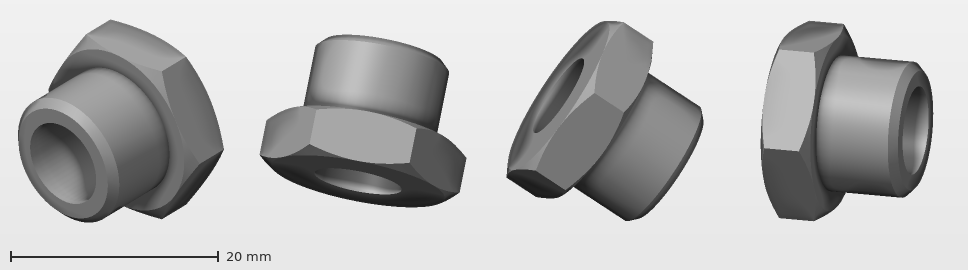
import cadquery as cq
import math

across_corners = 19.63
across_flats = across_corners * math.cos(math.radians(30))
head_length = 5.0
head_chamfer_angle = 30.0

total_length = 13.0
spigot_diameter = 13.15
spigot_length = total_length - head_length
spigot_chamfer = 0.79
bore_diameter = 8.55


def make_head():
    """Hexagon along +Y with both ends turned to a cone that meets the flats."""
    hexagon = (
        cq.Workplane("XZ")
        .polygon(6, across_corners)
        .extrude(-head_length)
    )
    face_radius = across_flats / 2
    corner_radius = across_corners / 2
    slope = math.tan(math.radians(head_chamfer_angle))
    corner_drop = (corner_radius - face_radius) * slope
    turned_envelope = (
        cq.Workplane("XY")
        .moveTo(0, 0)
        .lineTo(face_radius, 0)
        .lineTo(corner_radius, corner_drop)
        .lineTo(corner_radius, head_length - corner_drop)
        .lineTo(face_radius, head_length)
        .lineTo(0, head_length)
        .close()
        .revolve(360, (0, 0, 0), (0, 1, 0))
    )
    return hexagon.intersect(turned_envelope)


def make_spigot():
    """Cylinder along -Y with a chamfered free end."""
    return (
        cq.Workplane("XZ")
        .circle(spigot_diameter / 2)
        .extrude(spigot_length)
        .faces("<Y")
        .chamfer(spigot_chamfer)
    )


def make_bore():
    """Cylinder that passes through the spigot and the head."""
    return (
        cq.Workplane("XZ", origin=(0, head_length, 0))
        .circle(bore_diameter / 2)
        .extrude(total_length)
    )


result = make_head().union(make_spigot()).cut(make_bore())